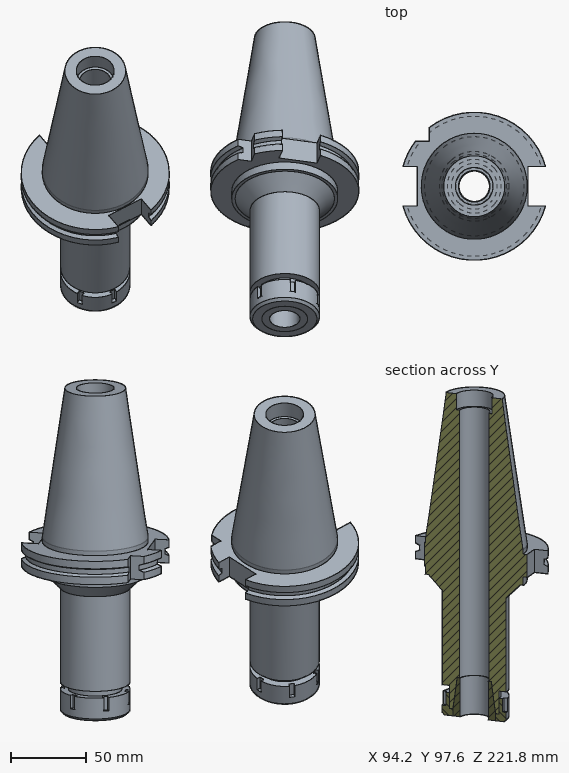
import cadquery as cq
import math


total_height = 221.8
gauge_z = 120.0
flange_top_z = 116.9
flange_bottom_z = 101.0
collar_bottom_z = 95.1
shoulder_height = 9.8
shank_bottom_z = 20.6
nut_height = 16.0
nut_face_thickness = 4.9

gauge_diameter = 69.9
shank_diameter = 46.0
taper_ratio = 7 / 24
flange_radius = 48.8
spigot_radius = 17.7

groove_opening = 5.8
groove_floor_width = 3.3
groove_depth = 2.7

keyway_width = 25.7
left_keyway_floor = 37.7
right_keyway_floor = 35.5
notch_offset = 29.7

drawbar_radius = 12.5
drawbar_depth = 11.0
passage_radius = 10.5

nut_chamfer = 1.8
spanner_slot_count = 6
spanner_slot_width = 3.5
spanner_slot_height = 9.0
spanner_slot_floor = 20.5

collet_length = 26.5
collet_nose_radius = 15.0
collet_half_angle = 8.0
collet_bore_radius = 10.0

gauge_radius = gauge_diameter / 2
shank_radius = shank_diameter / 2
nut_radius = shank_radius
taper_tip_radius = gauge_radius - (total_height - gauge_z) * taper_ratio / 2
shoulder_bottom_z = collar_bottom_z - shoulder_height
shoulder_top_radius = shank_radius + shoulder_height
groove_middle_z = (flange_top_z + flange_bottom_z) / 2
flange_thickness = flange_top_z - flange_bottom_z
collet_taper_length = collet_length - nut_face_thickness
collet_tip_radius = collet_nose_radius - collet_taper_length * math.tan(math.radians(collet_half_angle))


def revolve_profile(points):
    """Turn a closed (radius, height) outline around the Z axis."""
    return cq.Workplane("YZ").polyline(points).close().revolve(360, (0, 0), (0, 1))


def cylinder(radius, bottom_z, top_z):
    return cq.Workplane("XY").workplane(offset=bottom_z).circle(radius).extrude(top_z - bottom_z)


def flange_block(x_min, x_max, y_min, y_max):
    """Box over the full flange thickness, used to cut the flange."""
    return cq.Workplane("XY").box(
        x_max - x_min, y_max - y_min, flange_thickness, centered=False
    ).translate((x_min, y_min, flange_bottom_z))


def make_collet_envelope():
    """Outer shape of the collet: a cylindrical nose below a cone."""
    return revolve_profile([
        (0, 0),
        (collet_nose_radius, 0),
        (collet_nose_radius, nut_face_thickness),
        (collet_tip_radius, collet_length),
        (0, collet_length),
    ])


def make_gripper_groove():
    """Ring with a V-shaped, flat-bottomed section that cuts the flange rim."""
    floor_radius = flange_radius - groove_depth
    return revolve_profile([
        (flange_radius, groove_middle_z - groove_opening / 2),
        (floor_radius, groove_middle_z - groove_floor_width / 2),
        (floor_radius, groove_middle_z + groove_floor_width / 2),
        (flange_radius, groove_middle_z + groove_opening / 2),
    ])


def make_holder():
    body = revolve_profile([
        (0, nut_face_thickness),
        (spigot_radius, nut_face_thickness),
        (spigot_radius, shank_bottom_z),
        (shank_radius, shank_bottom_z),
        (shank_radius, shoulder_bottom_z),
        (shoulder_top_radius, collar_bottom_z),
        (gauge_radius, collar_bottom_z),
        (gauge_radius, flange_bottom_z),
        (flange_radius, flange_bottom_z),
        (flange_radius, flange_top_z),
        (gauge_radius, flange_top_z),
        (gauge_radius, gauge_z),
        (taper_tip_radius, total_height),
        (0, total_height),
    ])
    body = body.cut(make_gripper_groove())

    half_key = keyway_width / 2
    body = body.cut(flange_block(-flange_radius, -left_keyway_floor, -half_key, half_key))
    body = body.cut(flange_block(right_keyway_floor, flange_radius, -half_key, half_key))
    body = body.cut(flange_block(-flange_radius, -notch_offset, notch_offset, flange_radius))

    body = body.cut(cylinder(drawbar_radius, total_height - drawbar_depth, total_height))
    body = body.cut(cylinder(passage_radius, nut_face_thickness, total_height))
    return body.cut(make_collet_envelope())


def make_nut():
    body = cylinder(nut_radius, 0, nut_height).faces("<Z").chamfer(nut_chamfer)
    body = body.cut(cylinder(spigot_radius, nut_face_thickness, nut_height))
    body = body.cut(cylinder(collet_nose_radius, 0, nut_face_thickness))

    slot = cq.Workplane("XY").box(
        nut_radius, spanner_slot_width, spanner_slot_height, centered=(False, True, False)
    ).translate((spanner_slot_floor, 0, nut_height - spanner_slot_height))
    for index in range(spanner_slot_count):
        body = body.cut(slot.rotate((0, 0, 0), (0, 0, 1), index * 360 / spanner_slot_count))
    return body


def make_collet():
    return make_collet_envelope().cut(cylinder(collet_bore_radius, 0, collet_length))


holder = make_holder()
nut = make_nut()
collet = make_collet()

result = cq.Compound.makeCompound([holder.solids().val(), nut.solids().val(), collet.solids().val()])